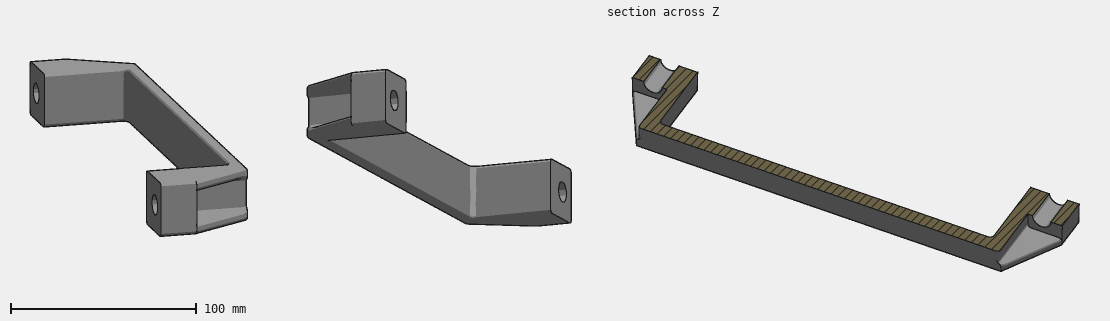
import cadquery as cq
import math

length = 260.0
depth = 54.0
height = 30.0

leg_width = 29.5
grip_thickness = 8.5
shoulder_depth = 20.0
slope_angle = 30.0
draft_angle = 1.0
inner_corner_radius = 2.5
rim_radius = 2.0

hole_spacing = 235.0
hole_diameter = 11.0
recess_width = 18.2
recess_wall_offset = 20.8
recess_corner_radius = 2.0
recess_lip_radius = 2.0

half_length = length / 2
half_height = height / 2
inner_x = half_length - leg_width
inner_y = depth - grip_thickness
back_x = half_length - (depth - shoulder_depth) * math.tan(math.radians(slope_angle))
trim_margin = 5.2


def near(x, y, reach):
    """Selector for edges whose middle lies within reach of the line through (x, y) along Z."""
    return cq.selectors.BoxSelector((x - reach, y - reach, -height), (x + reach, y + reach, height))


def handle_body():
    """Drafted bridge with rounded inner corners and rounded rims."""
    outline = (
        cq.Workplane("XY")
        .moveTo(-inner_x, -trim_margin)
        .lineTo(-half_length, -trim_margin)
        .lineTo(-half_length, shoulder_depth)
        .lineTo(-back_x, depth)
        .lineTo(back_x, depth)
        .lineTo(half_length, shoulder_depth)
        .lineTo(half_length, -trim_margin)
        .lineTo(inner_x, -trim_margin)
        .lineTo(inner_x, inner_y - inner_corner_radius)
        .radiusArc((inner_x - inner_corner_radius, inner_y), -inner_corner_radius)
        .lineTo(-inner_x + inner_corner_radius, inner_y)
        .radiusArc((-inner_x, inner_y - inner_corner_radius), -inner_corner_radius)
        .close()
    )
    upper = outline.extrude(half_height, taper=draft_angle)
    upper = upper.faces(">Z").edges().fillet(rim_radius)
    body = upper.union(upper.mirror("XY"))
    keep = cq.Workplane("XY").box(length, depth, height, centered=(True, False, True))
    return body.intersect(keep)


def head_recess(side):
    """Pocket above one leg: rounded inner corners, and a wall that rolls over into the back face."""
    wall_x = half_length - recess_wall_offset
    profile = (
        cq.Workplane("XY", origin=(0, 0, -recess_width / 2))
        .moveTo(half_length, shoulder_depth)
        .lineTo(wall_x, shoulder_depth)
        .lineTo(wall_x, depth - recess_lip_radius)
        .radiusArc((wall_x - recess_lip_radius, depth), -recess_lip_radius)
        .lineTo(wall_x - recess_lip_radius, depth + trim_margin)
        .lineTo(half_length, depth + trim_margin)
        .close()
    )
    pocket = profile.extrude(recess_width)
    wall = near(wall_x, (shoulder_depth + depth - recess_lip_radius) / 2, recess_lip_radius)
    pocket = pocket.faces("|Z").edges(wall).fillet(recess_corner_radius)
    return pocket if side > 0 else pocket.mirror("YZ")


def screw_hole(side):
    """Hole along Y from the mounting face into the recess."""
    hole = cq.Workplane("XZ").center(side * hole_spacing / 2, 0).circle(hole_diameter / 2)
    return hole.extrude(-depth)


def round_slope_lips(body):
    """Round the long edges where the recess sides meet the sloped ends."""
    slope_y = (shoulder_depth + depth) / 2
    rim_z = half_height - rim_radius
    between_rims = cq.selectors.BoxSelector((-length, -depth, -rim_z), (length, depth, rim_z))
    for side in (-1, 1):
        slope_x = side * (half_length + back_x) / 2
        recess_edges = body.edges(near(slope_x, slope_y, recess_lip_radius)).edges(between_rims)
        body = recess_edges.fillet(recess_lip_radius)
    return body


result = handle_body()
for side in (-1, 1):
    result = result.cut(head_recess(side)).cut(screw_hole(side))
result = round_slope_lips(result)